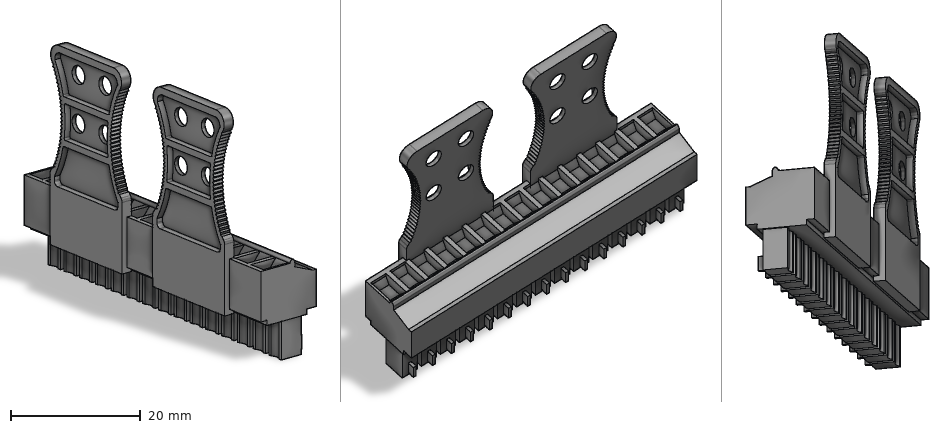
import cadquery as cq
import math

LENGTH = 57.15
POLES = 15
PITCH = LENGTH / POLES
FRONT = 1.05
BACK = 12.2
SHOULDER_Z = 7.4
BOTTOM_Z = 6.5
TOP_Z = 15.65
STEP_FRONT = 2.3
STEP_BACK = 10.3
SLOPE_TOP_Z = 14.85
SLOPE_END_Z = 13.5
SLOPE_END_Y = 11.5
BEAD_FRONT = 6.85
BEAD_BACK = 7.9
BEAD_HEIGHT = 0.65
BEAD_RADIUS = 0.85

CELL_WIDTH = 3.0
CELL_FLOOR_Z = 13.65
CELL_SLOPE_TOP_Z = 15.1
CELL_FLOOR_BACK = 5.2
CELL_FLOOR_FRONT = 2.65

PLUG_WIDTH = 3.05
PLUG_FRONT = 5.5
PLUG_BACK = 9.5
GROOVE_WIDTH = 1.9
GROOVE_DEPTH = 0.35
GROOVE_RADIUS = (GROOVE_WIDTH ** 2 / 4 + GROOVE_DEPTH ** 2) / (2 * GROOVE_DEPTH)
LATCH_WIDTH = 0.6
LATCH_BACK = 10.7
LATCH_BOTTOM = 0.35
LATCH_TOP = 2.65

HANDLE_SPACING = 6.5 * PITCH
HANDLE_THICKNESS = 1.9
HANDLE_TOP = 39.8
BASE_HALF = 8.7
BASE_TOP = 18.65
BASE_CORNER_RADIUS = 1.05
HEAD_HALF = 8.6
HEAD_RADIUS = 2.0
HEAD_CORNER_HALF = 8.35
WAIST_Z = 27.65
WAIST_HALF = 5.85
VALLEY_RADIUS = 18.85
TOOTH_DEPTH = 0.3
TEETH_ABOVE_WAIST = 14
TEETH_BELOW_WAIST = 13
TOP_VALLEY_ANGLE = 27.4
TOOTH_ANGLE = TOP_VALLEY_ANGLE / TEETH_ABOVE_WAIST
TOP_TIP = (8.2, 36.6)
SIDE_CENTRE = WAIST_HALF + VALLEY_RADIUS

POCKET_DEPTH = 1.15
WAIST_RIM = 0.75
END_RIM = 1.05
UPPER_POCKET = (31.7, 38.6)
MIDDLE_POCKET = (24.65, 30.65)
LOWER_POCKET = (16.5, 23.55)
POCKET_CORNER = 0.3
POCKET_LOWER_CORNER = 0.8
POCKET_UPPER_CORNER = 1.2
HOLE_DIAMETER = 3.05
HOLE_SPACING = 6.45
HOLE_ROWS = (27.6, 35.6)


def box(x_size, x_mid, y_range, z_range):
    """Block centred on x_mid and spanning the given Y and Z ranges."""
    y_size = y_range[1] - y_range[0]
    z_size = z_range[1] - z_range[0]
    return (
        cq.Workplane("XY", origin=(x_mid, y_range[0] + y_size / 2, z_range[0]))
        .box(x_size, y_size, z_size, centered=(True, True, False))
    )


def pole_positions():
    return [(pole + 0.5) * PITCH for pole in range(POLES)]


def housing_shell():
    bead_mid = (BEAD_FRONT + BEAD_BACK) / 2
    return (
        cq.Workplane("YZ")
        .moveTo(FRONT, SHOULDER_Z)
        .lineTo(FRONT, TOP_Z)
        .lineTo(BEAD_FRONT, TOP_Z)
        .radiusArc((bead_mid, TOP_Z + BEAD_HEIGHT), BEAD_RADIUS)
        .radiusArc((BEAD_BACK, TOP_Z), BEAD_RADIUS)
        .lineTo(BEAD_BACK, SLOPE_TOP_Z)
        .lineTo(SLOPE_END_Y, SLOPE_END_Z)
        .lineTo(BACK, SLOPE_END_Z)
        .lineTo(BACK, SHOULDER_Z)
        .lineTo(STEP_BACK, SHOULDER_Z)
        .lineTo(STEP_BACK, BOTTOM_Z)
        .lineTo(STEP_FRONT, BOTTOM_Z)
        .lineTo(STEP_FRONT, SHOULDER_Z)
        .close()
        .extrude(LENGTH)
    )


def cell_cutter(x_mid):
    """Wire cell with a flat floor, a sloping back wall and a slope at the foot of its front wall."""
    return (
        cq.Workplane("YZ", origin=(x_mid - CELL_WIDTH / 2, 0, 0))
        .moveTo(HANDLE_THICKNESS, TOP_Z)
        .lineTo(HANDLE_THICKNESS, CELL_SLOPE_TOP_Z)
        .lineTo(CELL_FLOOR_FRONT, CELL_FLOOR_Z)
        .lineTo(CELL_FLOOR_BACK, CELL_FLOOR_Z)
        .lineTo(BEAD_FRONT, TOP_Z)
        .close()
        .extrude(CELL_WIDTH)
    )


def plug(x_mid):
    """Plug with a round groove down its front and a latch on its back."""
    body = box(PLUG_WIDTH, x_mid, (PLUG_FRONT, PLUG_BACK), (0, BOTTOM_Z))
    groove = (
        cq.Workplane("XY")
        .center(x_mid, PLUG_FRONT + GROOVE_DEPTH - GROOVE_RADIUS)
        .circle(GROOVE_RADIUS)
        .extrude(BOTTOM_Z)
    )
    latch = box(LATCH_WIDTH, x_mid, (PLUG_BACK, LATCH_BACK), (LATCH_BOTTOM, LATCH_TOP))
    return body.cut(groove).union(latch)


def side_point(angle, radius):
    """Half width and height of a point on the waist arc of the given radius."""
    turn = math.radians(angle)
    return (SIDE_CENTRE - radius * math.cos(turn), WAIST_Z + radius * math.sin(turn))


def toothed_side():
    """Points up the right side, alternating between tooth tips and valleys."""
    points = []
    for tooth in range(-TEETH_BELOW_WAIST, TEETH_ABOVE_WAIST + 1):
        angle = tooth * TOOTH_ANGLE
        points.append(side_point(angle - TOOTH_ANGLE / 2, VALLEY_RADIUS - TOOTH_DEPTH))
        points.append(side_point(angle, VALLEY_RADIUS))
    return points + [TOP_TIP]


def handle_blank():
    """Right half of the outline, extruded and mirrored about the handle's middle."""
    head_x = HEAD_HALF - HEAD_RADIUS
    head_z = HANDLE_TOP - HEAD_RADIUS
    corner_drop = math.sqrt(HEAD_RADIUS ** 2 - (HEAD_CORNER_HALF - head_x) ** 2)
    half = (
        cq.Workplane("XZ")
        .moveTo(0, BOTTOM_Z)
        .lineTo(BASE_HALF, BOTTOM_Z)
        .lineTo(BASE_HALF, BASE_TOP)
    )
    for point in toothed_side():
        half = half.lineTo(*point)
    half = (
        half.lineTo(HEAD_CORNER_HALF, head_z - corner_drop)
        .threePointArc(
            (head_x + HEAD_RADIUS * math.sqrt(0.5), head_z + HEAD_RADIUS * math.sqrt(0.5)),
            (head_x, HANDLE_TOP),
        )
        .lineTo(0, HANDLE_TOP)
        .close()
        .extrude(-HANDLE_THICKNESS)
    )
    base_corner = cq.selectors.NearestToPointSelector((BASE_HALF, HANDLE_THICKNESS / 2, BASE_TOP))
    half = half.edges("|Y").edges(base_corner).fillet(BASE_CORNER_RADIUS)
    return half.union(half.mirror("YZ"))


def waist_strip(half_width, z_range):
    """Block between two heights, narrowed by the waist arcs and sunk to the pocket depth."""
    strip = box(2 * half_width, 0, (0, POCKET_DEPTH), z_range)
    for side in (-1, 1):
        strip = strip.cut(
            cq.Workplane("XZ")
            .center(side * SIDE_CENTRE, WAIST_Z)
            .circle(VALLEY_RADIUS + WAIST_RIM)
            .extrude(-POCKET_DEPTH)
        )
    return strip


def pockets():
    upper = waist_strip(HEAD_HALF - END_RIM, UPPER_POCKET)
    upper = upper.edges("|Y and >Z").fillet(POCKET_UPPER_CORNER)
    upper = upper.edges("|Y and <Z").fillet(POCKET_CORNER)
    middle = waist_strip(HEAD_HALF - END_RIM, MIDDLE_POCKET).edges("|Y").fillet(POCKET_CORNER)
    lower = waist_strip(BASE_HALF - END_RIM, LOWER_POCKET)
    lower = lower.edges("|Y and <Z").fillet(POCKET_LOWER_CORNER)
    lower = lower.edges("|Y and >Z").fillet(POCKET_CORNER)
    return [upper, middle, lower]


def handle_holes():
    points = [(side * HOLE_SPACING / 2, row) for side in (-1, 1) for row in HOLE_ROWS]
    return (
        cq.Workplane("XZ")
        .pushPoints(points)
        .circle(HOLE_DIAMETER / 2)
        .extrude(-HANDLE_THICKNESS)
    )


def make_handle():
    handle = handle_blank().cut(handle_holes())
    for pocket in pockets():
        handle = handle.cut(pocket)
    return handle


def make_housing(handle_positions):
    """Terminal housing with its plugs, wire cells and a slot for the foot of each handle."""
    housing = housing_shell()
    for x_mid in pole_positions():
        housing = housing.cut(cell_cutter(x_mid)).union(plug(x_mid))
    for x_mid in handle_positions:
        slot = box(2 * BASE_HALF, x_mid, (0, HANDLE_THICKNESS), (BOTTOM_Z, BASE_TOP))
        housing = housing.cut(slot)
    return housing


handle_places = [LENGTH / 2 + side * HANDLE_SPACING / 2 for side in (-1, 1)]
housing = make_housing(handle_places)
handle = make_handle()
handles = [handle.translate((x_mid, 0, 0)).val() for x_mid in handle_places]

result = cq.Compound.makeCompound([housing.val(), *handles])